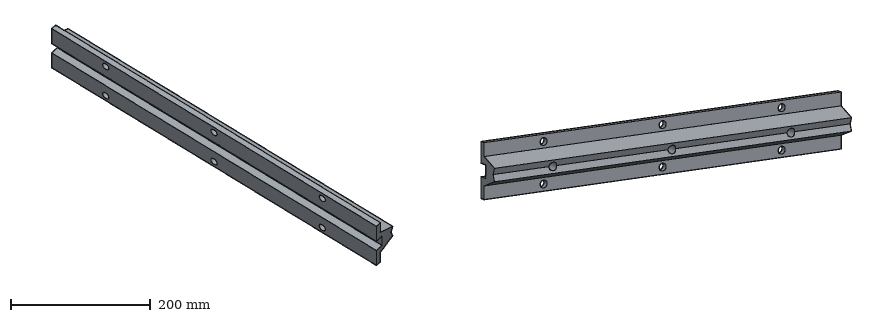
import cadquery as cq

length = 599.5
depth = 37.0
height = 84.0

flange_thickness = 9.0
channel_depth = 12.5
channel_height = 20.0
rib_root_height = 43.0
rib_tip_height = 20.0
groove_depth = 3.9

hole_columns = 3
hole_pitch = length / hole_columns
flange_hole_diameter = 11.5
flange_hole_offset = 31.0
rib_hole_diameter = 12.5


def make_rail():
    """Extrude the flanged section along X, with its front face at Y = 0."""
    upper_half = [
        (0, channel_height / 2),
        (0, height / 2),
        (flange_thickness, height / 2),
        (flange_thickness, rib_root_height / 2),
        (depth, rib_tip_height / 2),
    ]
    lower_half = [(y, -z) for y, z in reversed(upper_half)]
    groove_bottom = (depth - groove_depth, 0)
    channel_floor = [(channel_depth, -channel_height / 2), (channel_depth, channel_height / 2)]
    outline = upper_half + [groove_bottom] + lower_half + channel_floor
    return cq.Workplane("YZ").polyline(outline).close().extrude(length / 2, both=True)


def make_hole_row(z, diameter):
    """Cylinders through the full depth, evenly spaced along X at height z."""
    return (
        cq.Workplane("XZ")
        .center(0, z)
        .rarray(hole_pitch, 6, hole_columns, 1)
        .circle(diameter / 2)
        .extrude(-depth)
    )


result = make_rail().cut(make_hole_row(0, rib_hole_diameter))
for side in (-1, 1):
    result = result.cut(make_hole_row(side * flange_hole_offset, flange_hole_diameter))